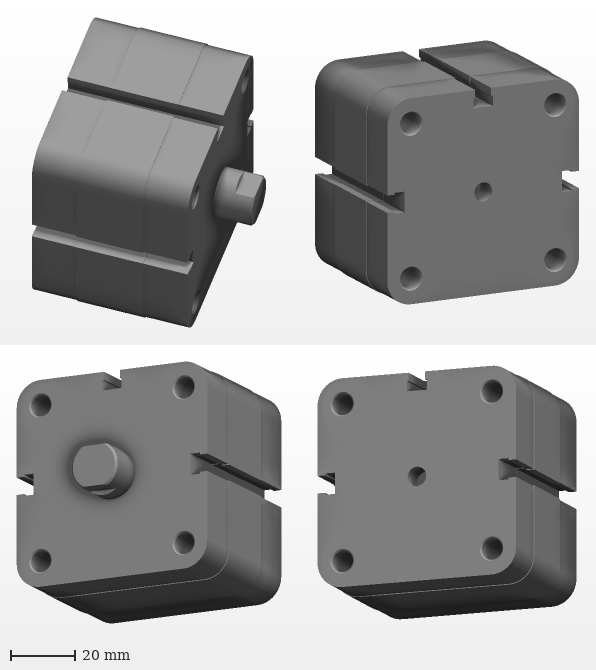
import cadquery as cq
BARREL_SIDE = 67.0
BARREL_LENGTH = 21.8
CAP_LENGTH = 14.6
ROD_LENGTH = 12.5
CAP_INSET = 0.3

BOLT_OFFSET = 25.0
BOLT_HOLE_DIAMETER = 6.85
BOLT_CHAMFER = 0.5

SLOT_NECK_WIDTH = 5.0
SLOT_POCKET_WIDTH = 6.2
SLOT_LIP = 2.8
SLOT_LIP_BEVEL = 0.3
SLOT_DEPTH = 5.9
SLOT_ANGLES = (0, 90, 180)

PORT_DIAMETER = 6.15
PORT_DEPTH = 8.05

ROD_DIAMETER = 16.0
ROD_CHAMFER = 0.7
FLAT_WIDTH = 13.05
FLAT_LENGTH = 6.15
FLAT_SHOULDER_RUN = 0.4

barrel_start = CAP_LENGTH
front_cap_start = barrel_start + BARREL_LENGTH
rod_start = front_cap_start + CAP_LENGTH


def plane_at(x):
    """Plane facing +X whose local x and y are the Y and Z of the part."""
    return cq.Workplane("YZ", origin=(x, 0, 0))


def t_slot(x, length, inset):
    """T-shaped slot opening towards +Y, widened and deepened by the inset."""
    mouth = BARREL_SIDE / 2
    lip_end = mouth - SLOT_LIP
    floor = mouth - SLOT_DEPTH - inset
    neck = SLOT_NECK_WIDTH / 2 + inset
    pocket = SLOT_POCKET_WIDTH / 2 + inset
    upper_half = [(mouth, neck), (lip_end, neck), (lip_end, pocket), (floor, pocket)]
    lower_half = [(y, -z) for y, z in reversed(upper_half)]
    return plane_at(x).polyline(upper_half + lower_half).close().extrude(length)


def lip_bevels(x, length):
    """Flared wedge that bevels the inner edges of both barrel lips of the slot facing +Y."""
    lip_end = BARREL_SIDE / 2 - SLOT_LIP
    neck = SLOT_NECK_WIDTH / 2
    flare = neck + SLOT_LIP_BEVEL
    outline = [
        (lip_end + SLOT_LIP_BEVEL, neck), (lip_end, flare),
        (lip_end, -flare), (lip_end + SLOT_LIP_BEVEL, -neck),
    ]
    return plane_at(x).polyline(outline).close().extrude(length)


def cut_on_slot_sides(block, cutter):
    for angle in SLOT_ANGLES:
        block = block.cut(cutter.rotate((0, 0, 0), (1, 0, 0), angle))
    return block


def stack_section(x, length, inset=0.0):
    """Rounded square block with three T-slots and four through bolt holes."""
    side = BARREL_SIDE - 2 * inset
    block = plane_at(x).rect(side, side).extrude(length)
    block = block.edges("|X").fillet(side / 2 - BOLT_OFFSET)
    block = cut_on_slot_sides(block, t_slot(x, length, inset))
    hole_centres = plane_at(x).rect(2 * BOLT_OFFSET, 2 * BOLT_OFFSET, forConstruction=True).vertices()
    return block.cut(hole_centres.circle(BOLT_HOLE_DIAMETER / 2).extrude(length))


def make_barrel():
    barrel = stack_section(barrel_start, BARREL_LENGTH)
    return cut_on_slot_sides(barrel, lip_bevels(barrel_start, BARREL_LENGTH))


def make_end_cap(x, outer_face):
    """End cap with the bolt holes chamfered on its outer face."""
    cap = stack_section(x, CAP_LENGTH, CAP_INSET)
    hole_rims = cap.faces(outer_face).edges(cq.selectors.RadiusNthSelector(0))
    return hole_rims.chamfer(BOLT_CHAMFER)


def make_rear_cap():
    port = plane_at(0).circle(PORT_DIAMETER / 2).extrude(PORT_DEPTH)
    return make_end_cap(0, "<X").cut(port)


def make_rod():
    """Plain rod stub with a chamfered tip and two wrench flats facing +Z and -Z."""
    radius = ROD_DIAMETER / 2
    tip = rod_start + ROD_LENGTH
    rod = plane_at(rod_start).circle(radius).extrude(ROD_LENGTH)
    rod = rod.faces(">X").chamfer(ROD_CHAMFER)
    flat_start = tip - FLAT_LENGTH
    flat_outline = [
        (tip, FLAT_WIDTH / 2),
        (flat_start, FLAT_WIDTH / 2),
        (flat_start - FLAT_SHOULDER_RUN, radius),
        (tip, radius),
    ]
    flat = cq.Workplane("XZ").polyline(flat_outline).close().extrude(radius, both=True)
    return rod.cut(flat).cut(flat.mirror("XY"))


rear_cap = make_rear_cap()
barrel = make_barrel()
front_cap = make_end_cap(front_cap_start, ">X")
rod = make_rod()

result = cq.Compound.makeCompound([rear_cap.val(), barrel.val(), front_cap.val(), rod.val()])